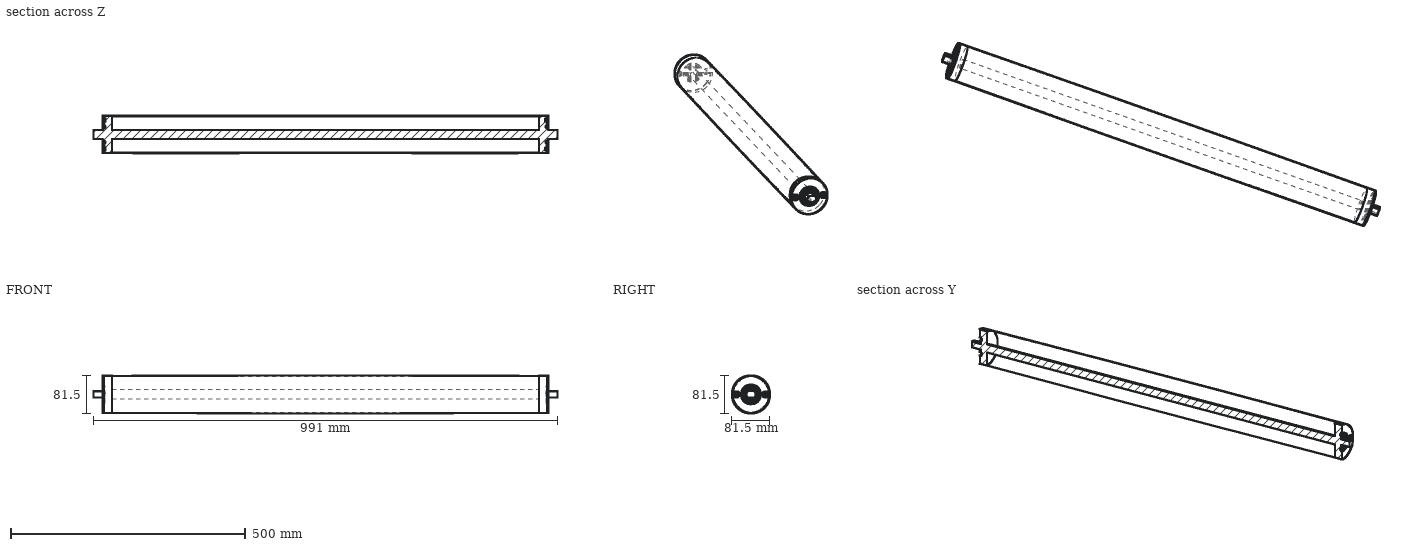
import cadquery as cq

shaft_length = 991.0
body_length = 951.0
crown_diameter = 81.5
tube_end_diameter = 80.0
tube_bore_diameter = 77.0
crown_length = body_length / 3

cap_thickness = 20.0
rim_diameter = 79.99
rim_width = 3.0

recess_outer_diameter = 42.0
recess_inner_diameter = 26.0
recess_depth = 3.0
groove_outer_diameter = 36.0
groove_inner_diameter = 31.0
groove_depth = 5.0

hole_offset = 31.0
counterbore_diameter = 13.0
counterbore_depth = 3.0
hole_diameter = 6.0
hole_depth = 6.0

shaft_diameter = 20.0
across_flats = 14.0
flat_depth_in_cap = 3.0

body_end = body_length / 2
shaft_end = shaft_length / 2


def cap_plane():
    """Workplane on the -X cap face, with its normal pointing into the part."""
    return cq.Workplane("YZ", origin=(-body_end, 0, 0))


def make_body():
    """Solid roller: a revolved profile with end rims, tapers and the crown."""
    rim_radius = rim_diameter / 2
    tube_end_radius = tube_end_diameter / 2
    crown_radius = crown_diameter / 2
    tube_end = body_end - rim_width
    crown_end = crown_length / 2
    profile = [
        (-body_end, 0),
        (-body_end, rim_radius),
        (-tube_end, rim_radius),
        (-tube_end, tube_end_radius),
        (-crown_end, crown_radius),
        (crown_end, crown_radius),
        (tube_end, tube_end_radius),
        (tube_end, rim_radius),
        (body_end, rim_radius),
        (body_end, 0),
    ]
    return cq.Workplane("XY").polyline(profile).close().revolve(360, (0, 0, 0), (1, 0, 0))


def make_cavity():
    """Hollow space between the two caps, around the shaft."""
    cavity_length = body_length - 2 * cap_thickness
    inner_cap_face = cap_plane().workplane(offset=cap_thickness)
    return inner_cap_face.circle(tube_bore_diameter / 2).circle(shaft_diameter / 2).extrude(cavity_length)


def cap_ring(outer_diameter, inner_diameter, depth):
    """Ring-shaped cutter going into the -X cap face."""
    return cap_plane().circle(outer_diameter / 2).circle(inner_diameter / 2).extrude(depth)


def cap_holes(diameter, depth):
    """Pair of round cutters going into the -X cap face."""
    centers = [(-hole_offset, 0), (hole_offset, 0)]
    return cap_plane().pushPoints(centers).circle(diameter / 2).extrude(depth)


def make_flat_cutter():
    """Two round-backed segments that cut the flats facing +Z and -Z at the -X end."""
    flat_length = shaft_end - body_end + flat_depth_in_cap
    round_bar = cq.Workplane("YZ", origin=(-shaft_end, 0, 0)).circle(shaft_diameter / 2).extrude(flat_length)
    kept_bar = cq.Workplane("XY").box(shaft_length, shaft_diameter, across_flats)
    return round_bar.cut(kept_bar)


def make_shaft():
    """Round shaft over the full length of the part."""
    return cq.Workplane("YZ", origin=(-shaft_end, 0, 0)).circle(shaft_diameter / 2).extrude(shaft_length)


end_cutters = [
    cap_ring(recess_outer_diameter, recess_inner_diameter, recess_depth),
    cap_ring(groove_outer_diameter, groove_inner_diameter, groove_depth),
    cap_holes(counterbore_diameter, counterbore_depth),
    cap_holes(hole_diameter, hole_depth),
    make_flat_cutter(),
]

result = make_body().cut(make_cavity()).union(make_shaft())
for cutter in end_cutters:
    result = result.cut(cutter).cut(cutter.mirror("YZ"))